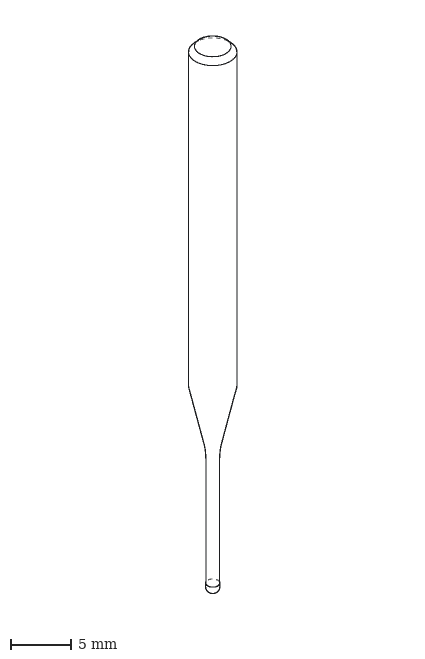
import cadquery as cq

total_length = 55.0
shank_radius = 2.01
shank_bottom = 20.8
chamfer_height = 0.55
chamfer_width = 0.5

taper_bottom = 14.9
fillet_bottom = 14.0
fillet_bottom_radius = 0.6
taper_bottom_radius = 0.7
neck_top = 13.55
neck_radius = 0.58

tip_radius = 0.6
tip_length = 0.95


def make_shank():
    """Turned shank with an end chamfer, a taper and a neck, ending where the tip starts."""
    profile = (
        cq.Workplane("XZ")
        .moveTo(0, tip_length)
        .lineTo(neck_radius, tip_length)
        .lineTo(neck_radius, neck_top)
        .lineTo(fillet_bottom_radius, fillet_bottom)
        .tangentArcPoint((taper_bottom_radius, taper_bottom), relative=False)
        .lineTo(shank_radius, shank_bottom)
        .lineTo(shank_radius, total_length - chamfer_height)
        .lineTo(shank_radius - chamfer_width, total_length)
        .lineTo(0, total_length)
        .close()
    )
    return profile.revolve(360, (0, 0, 0), (0, 1, 0))


def make_tip():
    """Cutting tip: a short cylinder closed below by a half ball."""
    ball_mid = tip_radius * 0.5 ** 0.5
    profile = (
        cq.Workplane("XZ")
        .moveTo(0, 0)
        .threePointArc((ball_mid, tip_radius - ball_mid), (tip_radius, tip_radius))
        .lineTo(tip_radius, tip_length)
        .lineTo(0, tip_length)
        .close()
    )
    return profile.revolve(360, (0, 0, 0), (0, 1, 0))


shank = make_shank()
tip = make_tip()

result = cq.Compound.makeCompound([shank.val(), tip.val()])